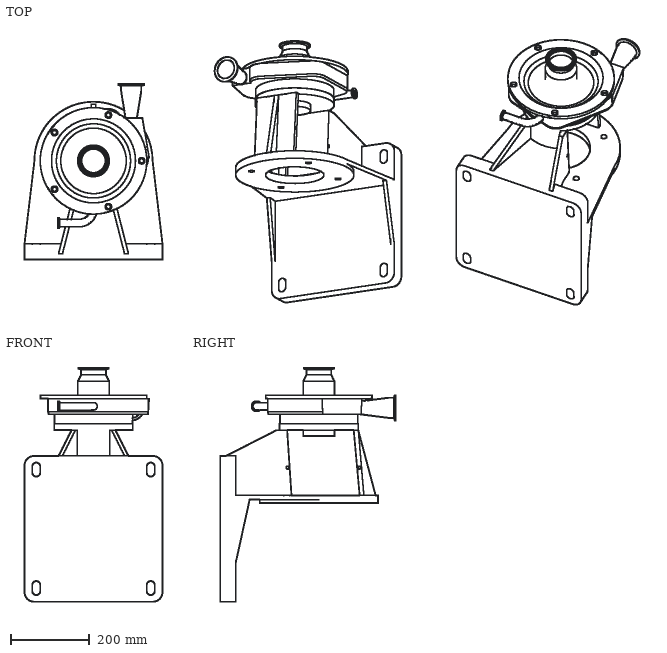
import cadquery as cq
import math


plate_width = 350.0
plate_height = 370.0
plate_thickness = 40.0
plate_back_y = -250.0
plate_front_y = plate_back_y + plate_thickness
plate_corner_radius = 25.0
slot_width = 20.0
slot_length = 35.0
slot_spacing_x = 290.0
slot_spacing_z = 300.0

shelf_top_z = 270.0
shelf_thickness = 11.0
motor_disc_thickness = 20.0
motor_disc_radius = 150.0
motor_bore_radius = 74.0
motor_bolt_circle_radius = 115.0
motor_bolt_diameter = 14.0
motor_bolt_count = 4
motor_bolt_start_angle = 45
bracket_reach = 35.0
bracket_bottom_z = 100.0
bracket_thickness = 10.0

lantern_radius = 100.0
lantern_half_width = 56.0
lantern_top_z = 435.0
front_wall_inner_top_y = -80.0
front_wall_inner_bottom_y = -69.0
back_wall_inner_top_y = 88.0
back_wall_inner_bottom_y = 103.0
back_wall_outer_top_y = 100.0
back_wall_outer_bottom_y = 114.0
back_rib_foot_y = 144.0
back_rib_thickness = 12.0
front_rib_start_y = -107.5
front_rib_end_y = -235.0
front_rib_outer_end_x = 88.5
front_rib_width_x = 10.0
pin_hole_diameter = 7.0
pin_hole_z = 340.0
pin_hole_front_y = -79.0
pin_hole_back_y = 102.5

seat_flange_radius = lantern_radius
seat_flange_top_z = 451.0
neck_radius = 99.0
hub_radius = 40.0
hub_bottom_z = 420.0
casing_bottom_z = 475.0
casing_top_z = 515.0
casing_flat_distance = 115.5
casing_outlet_flat_distance = 122.0
casing_corner_radius = 34.0
casing_edge_height = 6.0
casing_edge_inset = 2.0
side_count = 5
outlet_flat_index = 1

cover_radius = 135.0
cover_top_z = 524.0
dish_rim_radius = 106.5
dish_rim_chamfer = 3.5
dish_wall_bottom_radius = 94.0
dish_floor_radius = 83.0
dish_floor_z = 507.0
dish_wall_bottom_z = dish_floor_z + 5.0
inlet_radius = 40.0
inlet_root_fillet = 13.5
inlet_cone_bottom_z = 558.5
inlet_cone_top_z = 575.0
inlet_neck_radius = 31.75
inlet_ferrule_radius = 38.75
inlet_bore_radius = 30.0
inlet_groove_radius = 34.5
inlet_groove_width = 3.0
inlet_groove_depth = 1.5
inlet_top_z = 593.5
ferrule_rim = 3.0
ferrule_taper = 2.0
screw_circle_radius = 122.0
screw_recess_diameter = 16.0
screw_recess_depth = 9.0
screw_head_diameter = 11.0
screw_head_height = 4.5

outlet_x = 95.5
outlet_z = 491.5
outlet_end_y = 195.0
outlet_face_y = 109.0
outlet_block_inner_x = 70.0
outlet_block_outer_x = 124.0
outlet_block_tangent_x = 141.0
outlet_block_tangent_y = 8.0
outlet_block_draft = 3.0
outlet_root_half_width = 14.5
outlet_root_half_height = 17.0
outlet_root_y = outlet_face_y - 3.0
outlet_cone_end_y = 177.0
outlet_tube_radius = 26.0
outlet_ferrule_radius = 32.5
outlet_wall = 2.0

drain_z = 495.5
drain_y = -157.5
drain_radius = 9.5
drain_bore_radius = 7.0
drain_bend_radius = 36.0
drain_embed = 18.0
drain_end_x = -90.0
drain_ferrule_radius = 13.0


def box_between(x_range, y_range, z_range):
    lengths = [b - a for a, b in (x_range, y_range, z_range)]
    corner = (x_range[0], y_range[0], z_range[0])
    return cq.Workplane("XY").box(*lengths, centered=False).translate(corner)


def cylinder(radius, bottom_z, top_z):
    return cq.Workplane("XY").workplane(offset=bottom_z).circle(radius).extrude(top_z - bottom_z)


def side_profile(points, half_width):
    """Extrude a (y, z) outline symmetrically about X = 0."""
    return cq.Workplane("YZ").polyline(points).close().extrude(half_width, both=True)


def make_mounting_plate():
    plate = box_between(
        (-plate_width / 2, plate_width / 2), (plate_back_y, plate_front_y), (0, plate_height)
    )
    plate = plate.edges("|Y").fillet(plate_corner_radius)
    slots = (
        cq.Workplane("XZ", origin=(0, plate_front_y, plate_height / 2))
        .rarray(slot_spacing_x, slot_spacing_z, 2, 2)
        .slot2D(slot_length, slot_width, 90)
        .extrude(plate_thickness)
    )
    return plate.cut(slots)


def shelf_outline(inset, bottom_z, height):
    """Plan of the shelf: from the disc's widest points out to the mounting plate."""
    disc_x = motor_disc_radius - inset
    plate_x = plate_width / 2 - inset
    points = [(-disc_x, 0), (disc_x, 0), (plate_x, plate_front_y), (-plate_x, plate_front_y)]
    return cq.Workplane("XY").workplane(offset=bottom_z).polyline(points).close().extrude(height)


def make_shelf():
    shelf_bottom_z = shelf_top_z - shelf_thickness
    disc = cylinder(motor_disc_radius, shelf_top_z - motor_disc_thickness, shelf_top_z)
    shelf = disc.union(shelf_outline(0, shelf_bottom_z, shelf_thickness))

    bracket_side = side_profile(
        [
            (plate_front_y, shelf_bottom_z),
            (plate_front_y + bracket_reach, shelf_bottom_z),
            (plate_front_y, bracket_bottom_z),
        ],
        plate_width / 2,
    )
    bracket_height = shelf_bottom_z - bracket_bottom_z
    bracket_plan = shelf_outline(0, bracket_bottom_z, bracket_height).cut(
        shelf_outline(bracket_thickness, bracket_bottom_z, bracket_height)
    )
    shelf = shelf.union(bracket_side.intersect(bracket_plan))

    bolt_holes = (
        cq.Workplane("XY")
        .workplane(offset=shelf_top_z)
        .polarArray(motor_bolt_circle_radius, motor_bolt_start_angle, 360, motor_bolt_count)
        .circle(motor_bolt_diameter / 2)
        .extrude(-motor_disc_thickness)
    )
    bore = cylinder(motor_bore_radius, shelf_top_z - motor_disc_thickness, shelf_top_z)
    return shelf.cut(bolt_holes).cut(bore)


def make_front_wall():
    wall = side_profile(
        [
            (front_wall_inner_top_y, lantern_top_z),
            (front_wall_inner_bottom_y, shelf_top_z),
            (-lantern_radius, shelf_top_z),
            (-lantern_radius, lantern_top_z),
        ],
        lantern_half_width,
    )
    return wall.intersect(cylinder(lantern_radius, shelf_top_z, lantern_top_z))


def rib_inner_x(y):
    """Distance of a front rib's inner face from X = 0 at a given Y."""
    spread = front_rib_outer_end_x - lantern_half_width
    run = front_rib_start_y - front_rib_end_y
    return lantern_half_width - front_rib_width_x + spread * (front_rib_start_y - y) / run


def make_front_ribs():
    """Two splayed ribs with flat cheeks that close the sides of the front wall."""
    plan = (
        cq.Workplane("XY")
        .workplane(offset=shelf_top_z)
        .polyline(
            [
                (rib_inner_x(front_wall_inner_top_y), front_wall_inner_top_y),
                (lantern_half_width, front_wall_inner_bottom_y),
                (lantern_half_width, front_rib_start_y),
                (front_rib_outer_end_x, front_rib_end_y),
                (rib_inner_x(front_rib_end_y), front_rib_end_y),
            ]
        )
        .close()
        .extrude(lantern_top_z - shelf_top_z)
    )
    side = side_profile(
        [
            (front_wall_inner_bottom_y, shelf_top_z),
            (front_wall_inner_top_y, lantern_top_z),
            (front_rib_start_y, lantern_top_z),
            (front_rib_end_y, plate_height),
            (front_rib_end_y, shelf_top_z),
        ],
        plate_width / 2,
    )
    rib = plan.intersect(side)
    return rib.union(rib.mirror("YZ"))


def make_rib_infill():
    """Solid between the front ribs, level with the top of the mounting plate."""
    root_y = front_wall_inner_top_y
    root_x = rib_inner_x(root_y)
    plate_x = rib_inner_x(plate_front_y)
    return (
        cq.Workplane("XY")
        .workplane(offset=shelf_top_z)
        .polyline(
            [(-root_x, root_y), (root_x, root_y), (plate_x, plate_front_y), (-plate_x, plate_front_y)]
        )
        .close()
        .extrude(plate_height - shelf_top_z)
    )


def make_back_wall():
    wall = side_profile(
        [
            (back_wall_inner_top_y, lantern_top_z),
            (back_wall_outer_top_y, lantern_top_z),
            (back_wall_outer_bottom_y, shelf_top_z),
            (back_wall_inner_bottom_y, shelf_top_z),
        ],
        lantern_half_width,
    )
    rib = side_profile(
        [
            (back_wall_inner_top_y, lantern_top_z),
            (back_wall_outer_top_y, lantern_top_z),
            (back_rib_foot_y, shelf_top_z),
            (back_wall_inner_bottom_y, shelf_top_z),
        ],
        back_rib_thickness / 2,
    )
    return wall.union(rib)


def make_lantern():
    lantern = make_front_wall().union(make_front_ribs()).union(make_rib_infill())
    lantern = lantern.union(make_back_wall())
    pin_holes = (
        cq.Workplane("YZ")
        .pushPoints([(pin_hole_front_y, pin_hole_z), (pin_hole_back_y, pin_hole_z)])
        .circle(pin_hole_diameter / 2)
        .extrude(lantern_half_width, both=True)
    )
    return lantern.cut(pin_holes)


def casing_corners():
    """Corners of the pentagon; the flat at the outlet lies farther out than the others."""
    half_step = math.pi / side_count
    flats = [casing_flat_distance] * side_count
    flats[outlet_flat_index] = casing_outlet_flat_distance
    corners = []
    for index in range(side_count):
        angle = 2 * half_step * index
        before = flats[index]
        after = flats[(index + 1) % side_count]
        radial = (before + after) / 2 / math.cos(half_step)
        sideways = (after - before) / 2 / math.sin(half_step)
        corner_x = radial * math.cos(angle) - sideways * math.sin(angle)
        corner_y = radial * math.sin(angle) + sideways * math.cos(angle)
        corners.append((corner_x, corner_y))
    return corners


def make_casing():
    """Rounded pentagon with an outlet block, on a round neck, seat flange and hub."""
    casing_height = casing_top_z - casing_bottom_z
    casing = (
        cq.Workplane("XY")
        .workplane(offset=casing_bottom_z)
        .polyline(casing_corners())
        .close()
        .extrude(casing_height)
        .edges("|Z")
        .fillet(casing_corner_radius)
    )
    outlet_block = (
        cq.Workplane("XY")
        .workplane(offset=casing_top_z)
        .polyline(
            [
                (0, 0),
                (outlet_block_tangent_x, outlet_block_tangent_y),
                (outlet_block_outer_x, outlet_face_y),
                (outlet_block_inner_x, outlet_face_y),
            ]
        )
        .close()
        .extrude(-casing_height, taper=outlet_block_draft)
    )
    casing = casing.faces("<Z").edges().chamfer(casing_edge_height, casing_edge_inset)
    cover_seat = cylinder(seat_flange_radius, casing_bottom_z, casing_top_z)
    casing = casing.union(outlet_block).cut(cover_seat)
    return (
        casing.union(cylinder(neck_radius, seat_flange_top_z, casing_bottom_z))
        .union(cylinder(seat_flange_radius, lantern_top_z, seat_flange_top_z))
        .union(cylinder(hub_radius, hub_bottom_z, lantern_top_z))
    )


def make_cover():
    """Dished cover and inlet pipe, turned about the Z axis."""
    root_outer_radius = inlet_radius + inlet_root_fillet
    root_top_z = dish_floor_z + inlet_root_fillet
    arc_offset = inlet_root_fillet * math.sin(math.pi / 4)
    arc_middle = (root_outer_radius - arc_offset, root_top_z - arc_offset)
    return (
        cq.Workplane("XZ")
        .moveTo(0, casing_bottom_z)
        .lineTo(seat_flange_radius, casing_bottom_z)
        .lineTo(seat_flange_radius, casing_top_z)
        .lineTo(cover_radius, casing_top_z)
        .lineTo(cover_radius, cover_top_z)
        .lineTo(dish_rim_radius, cover_top_z)
        .lineTo(dish_rim_radius - dish_rim_chamfer, cover_top_z - dish_rim_chamfer)
        .lineTo(dish_wall_bottom_radius, dish_wall_bottom_z)
        .lineTo(dish_floor_radius, dish_floor_z)
        .lineTo(root_outer_radius, dish_floor_z)
        .threePointArc(arc_middle, (inlet_radius, root_top_z))
        .lineTo(inlet_radius, inlet_cone_bottom_z)
        .lineTo(inlet_neck_radius, inlet_cone_top_z)
        .lineTo(inlet_neck_radius, inlet_top_z - ferrule_rim - ferrule_taper)
        .lineTo(inlet_ferrule_radius, inlet_top_z - ferrule_rim)
        .lineTo(inlet_ferrule_radius, inlet_top_z)
        .lineTo(0, inlet_top_z)
        .close()
        .revolve(360, (0, 0, 0), (0, 1, 0))
    )


def cut_inlet(pump):
    """Bore the inlet down to the neck and groove its ferrule face."""
    bore = cylinder(inlet_bore_radius, casing_bottom_z, inlet_top_z)
    groove_bottom_z = inlet_top_z - inlet_groove_depth
    groove_outer = inlet_groove_radius + inlet_groove_width / 2
    groove_inner = inlet_groove_radius - inlet_groove_width / 2
    groove = cylinder(groove_outer, groove_bottom_z, inlet_top_z).cut(
        cylinder(groove_inner, groove_bottom_z, inlet_top_z)
    )
    return pump.cut(bore).cut(groove)


def cut_screw_recesses(pump):
    recess_bottom_z = cover_top_z - screw_recess_depth
    spots = cq.Workplane("XY").workplane(offset=recess_bottom_z).polarArray(
        screw_circle_radius, 0, 360, side_count
    )
    recesses = spots.circle(screw_recess_diameter / 2).extrude(screw_recess_depth)
    heads = spots.circle(screw_head_diameter / 2).extrude(screw_head_height)
    return pump.cut(recesses.cut(heads))


def outlet_cone(inset):
    """Loft from the oval root on the casing out to the round outlet tube."""
    return (
        cq.Workplane("XZ", origin=(outlet_x, outlet_root_y, outlet_z))
        .ellipse(outlet_root_half_width - inset, outlet_root_half_height - inset)
        .workplane(offset=outlet_root_y - outlet_cone_end_y)
        .ellipse(outlet_tube_radius - inset, outlet_tube_radius - inset)
        .loft()
    )


def make_ferrule(radius, tube_radius):
    """Clamp ferrule along +Z: rim face at Z = 0, tapering to the tube behind it."""
    return (
        cq.Workplane("XZ")
        .polyline(
            [
                (0, 0),
                (radius, 0),
                (radius, ferrule_rim),
                (tube_radius, ferrule_rim + ferrule_taper),
                (0, ferrule_rim + ferrule_taper),
            ]
        )
        .close()
        .revolve(360, (0, 0, 0), (0, 1, 0))
    )


def make_outlet():
    """Nozzle along +Y with a clamp ferrule at its open end."""
    end_face = cq.Workplane("XZ", origin=(outlet_x, outlet_end_y, outlet_z))
    tube_length = outlet_end_y - outlet_cone_end_y
    tube = end_face.circle(outlet_tube_radius).extrude(tube_length)
    ferrule = (
        make_ferrule(outlet_ferrule_radius, outlet_tube_radius)
        .rotate((0, 0, 0), (1, 0, 0), 90)
        .translate((outlet_x, outlet_end_y, outlet_z))
    )
    bore = end_face.circle(outlet_tube_radius - outlet_wall).extrude(tube_length)
    nozzle = outlet_cone(0).union(tube).union(ferrule)
    return nozzle.cut(bore).cut(outlet_cone(outlet_wall))


def drain_sweep(radius):
    """Round bar along the drain's path, from its open end into the casing."""
    bend_start_x = -drain_bend_radius
    bend_end_y = drain_y + drain_bend_radius
    arc_offset = drain_bend_radius * math.sin(math.pi / 4)
    path = (
        cq.Workplane("XY", origin=(0, 0, drain_z))
        .moveTo(drain_end_x, drain_y)
        .lineTo(bend_start_x, drain_y)
        .threePointArc((bend_start_x + arc_offset, bend_end_y - arc_offset), (0, bend_end_y))
        .lineTo(0, bend_end_y + drain_embed)
    )
    section = cq.Workplane("YZ", origin=(drain_end_x, drain_y, drain_z)).circle(radius)
    return section.sweep(path)


def make_drain():
    ferrule = (
        make_ferrule(drain_ferrule_radius, drain_radius)
        .rotate((0, 0, 0), (0, 1, 0), 90)
        .translate((drain_end_x, drain_y, drain_z))
    )
    return drain_sweep(drain_radius).union(ferrule)


pump = make_casing().union(make_cover()).union(make_outlet()).union(make_drain())
pump = cut_screw_recesses(cut_inlet(pump)).cut(drain_sweep(drain_bore_radius))
stand = make_mounting_plate().union(make_shelf()).union(make_lantern())
result = stand.union(pump)